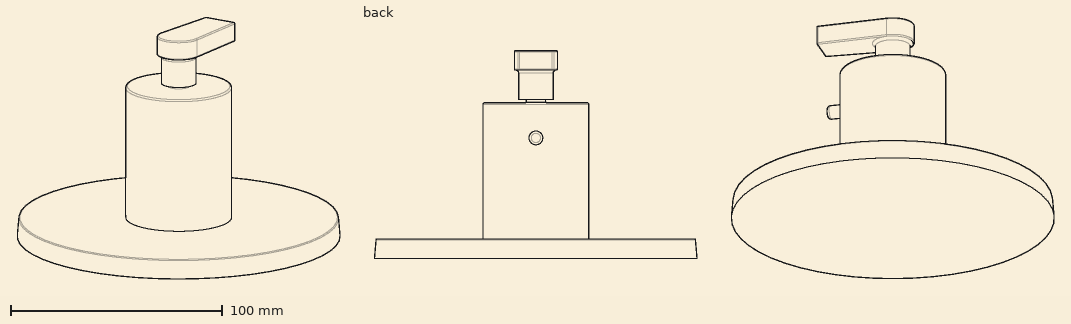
import cadquery as cq
import math

OVERALL_HEIGHT = 98.07
PLATE_THICKNESS = 9.3
BODY_TOP = 73.5
STEM_BOTTOM = 75.0
LEVER_THICKNESS = 9.2
LEVER_BOTTOM = OVERALL_HEIGHT - LEVER_THICKNESS

PLATE_DIAMETER = 152.4
PLATE_TOP_DIAMETER = 150.8
PLATE_RIM_FILLET = 0.5

BODY_DIAMETER = 50.0
BODY_RIM_FILLET = 0.8
NECK_DIAMETER = 9.2
NECK_ROOT_FILLET = 0.5
STEM_DIAMETER = 16.4
STEM_FLARE_RADIUS = 1.4

LEVER_HUB_RADIUS = 10.2
LEVER_TIP_WIDTH = 17.0
LEVER_REACH = 35.0
LEVER_EDGE_FILLET = 0.6
LEVER_TIP_CORNER_FILLET = 0.9

BUTTON_DIAMETER = 6.5
BUTTON_REACH = 31.8
BUTTON_HEIGHT = 56.9
BUTTON_DOME_HEIGHT = 0.6
BUTTON_EDGE_FILLET = 1.4


def make_plate():
    plate = (
        cq.Workplane("XY")
        .circle(PLATE_DIAMETER / 2)
        .workplane(offset=PLATE_THICKNESS)
        .circle(PLATE_TOP_DIAMETER / 2)
        .loft(ruled=True)
    )
    return plate.faces(">Z").edges().fillet(PLATE_RIM_FILLET)


def make_body():
    body = cq.Workplane("XY").circle(BODY_DIAMETER / 2).extrude(BODY_TOP)
    return body.faces(">Z").edges().fillet(BODY_RIM_FILLET)


def make_stem():
    """Narrow neck rising from the body and a wider stem, each flaring concavely at one end."""
    neck_radius = NECK_DIAMETER / 2
    stem_radius = STEM_DIAMETER / 2
    arc_sag = 1 - math.sqrt(0.5)
    neck_sag = NECK_ROOT_FILLET * arc_sag
    stem_sag = STEM_FLARE_RADIUS * arc_sag
    return (
        cq.Workplane("XZ")
        .moveTo(0, BODY_TOP)
        .lineTo(neck_radius + NECK_ROOT_FILLET, BODY_TOP)
        .threePointArc(
            (neck_radius + neck_sag, BODY_TOP + neck_sag),
            (neck_radius, BODY_TOP + NECK_ROOT_FILLET),
        )
        .lineTo(neck_radius, STEM_BOTTOM)
        .lineTo(stem_radius, STEM_BOTTOM)
        .lineTo(stem_radius, LEVER_BOTTOM - STEM_FLARE_RADIUS)
        .threePointArc(
            (stem_radius + stem_sag, LEVER_BOTTOM - stem_sag),
            (stem_radius + STEM_FLARE_RADIUS, LEVER_BOTTOM),
        )
        .lineTo(0, LEVER_BOTTOM)
        .close()
        .revolve(360, (0, 0, 0), (0, 1, 0))
    )


def make_lever():
    """Flat lever whose straight sides leave the round hub tangentially and narrow to the tip."""
    tip_half_width = LEVER_TIP_WIDTH / 2
    tip_distance = math.hypot(tip_half_width, LEVER_REACH)
    tangent_angle = math.atan2(LEVER_REACH, tip_half_width) - math.acos(LEVER_HUB_RADIUS / tip_distance)
    tangent_x = LEVER_HUB_RADIUS * math.cos(tangent_angle)
    tangent_y = LEVER_HUB_RADIUS * math.sin(tangent_angle)
    lever = (
        cq.Workplane("XY")
        .workplane(offset=LEVER_BOTTOM)
        .moveTo(-tangent_x, tangent_y)
        .threePointArc((0, -LEVER_HUB_RADIUS), (tangent_x, tangent_y))
        .lineTo(tip_half_width, LEVER_REACH)
        .lineTo(-tip_half_width, LEVER_REACH)
        .close()
        .extrude(LEVER_THICKNESS)
    )
    lever = lever.edges("|Z and >Y").fillet(LEVER_TIP_CORNER_FILLET)
    return lever.faces("<Z or >Z").edges().fillet(LEVER_EDGE_FILLET)


def make_button():
    """Round pin with a shallow domed end and a rounded edge, running out from the body axis."""
    radius = BUTTON_DIAMETER / 2
    rim = BUTTON_REACH - BUTTON_DOME_HEIGHT
    dome_radius = (radius**2 + BUTTON_DOME_HEIGHT**2) / (2 * BUTTON_DOME_HEIGHT)
    dome_mid_x = radius / 2
    dome_mid_y = BUTTON_REACH - dome_radius + math.sqrt(dome_radius**2 - dome_mid_x**2)
    button = (
        cq.Workplane("XY", origin=(0, 0, BUTTON_HEIGHT))
        .lineTo(radius, 0)
        .lineTo(radius, rim)
        .threePointArc((dome_mid_x, dome_mid_y), (0, BUTTON_REACH))
        .close()
        .revolve(360, (0, 0, 0), (0, 1, 0))
    )
    outer_rim = cq.selectors.NearestToPointSelector((0, rim, BUTTON_HEIGHT))
    return button.edges("%CIRCLE").edges(outer_rim).fillet(BUTTON_EDGE_FILLET)


result = make_plate().union(make_body()).union(make_stem()).union(make_lever()).union(make_button())